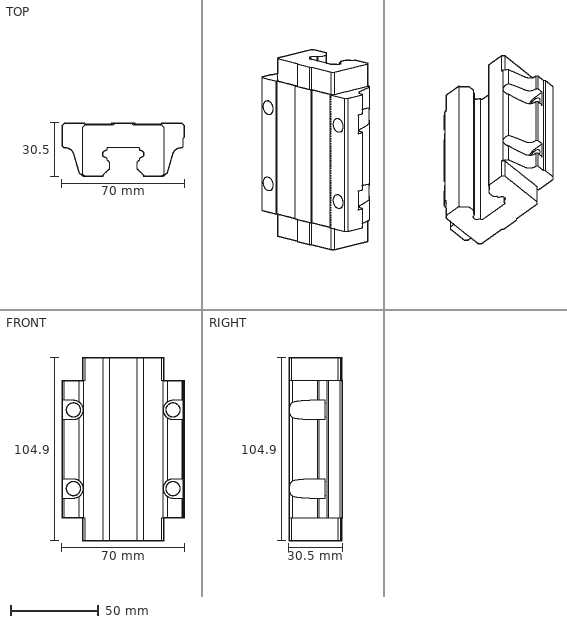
import cadquery as cq


length = 104.9
half_width = 70.0 / 2
height = 30.5
block_length = 78.6

top_chamfer = 1.5
flange_underside = 16.4
flange_lip_chamfer = 1.0
skirt_corner_x = 29.4
skirt_foot_x = 25.3
skirt_foot_y = 2.1
base_half_width = 22.8
skirt_fillet = 5.0

relief_depth = 0.7
relief_top = 22.5

recess_depth = 0.6
recess_inner_x = 6.6
recess_outer_x = 22.0

cap_half_width = 23.2
cap_top = height - 1.0
cap_chamfer = 1.4
cap_ridge_top = height - 0.3
cap_ridge_base_half = 5.8
cap_ridge_top_half = 5.0

groove_x = 11.6
neck_x = 7.8
throat_x = 9.2
mouth_y = 0.7
neck_bottom_y = 4.4
neck_top_y = 8.1
throat_bottom_y = 9.4
groove_bottom_y = 11.6
groove_top_y = 14.0
groove_side_rise = 1.3
ceiling_y = 16.5
mouth_fillet = 1.0
groove_fillet = 0.5

hole_pitch_x = 57.0
hole_pitch_z = 45.0
hole_diameter = 8.0
clearance_radius = 5.6
hole_seat_y = 20.7


def mirrored(points):
    """Follow +X points, listed from bottom to top, with their mirror images in reverse."""
    return points + [(-x, y) for x, y in reversed(points)]


def prism(outline, depth):
    """Extrude a closed outline along Z, centred on Z = 0."""
    return cq.Workplane("XY").polyline(outline).close().extrude(depth / 2, both=True)


def round_long_edges(body, corners, radius):
    """Fillet the Z edges at the given outline corners and at their mirror images."""
    for x, y in mirrored(corners):
        nearest = cq.selectors.NearestToPointSelector((x, y, 0))
        body = body.edges("|Z").edges(nearest).fillet(radius)
    return body


def make_block():
    block = prism(
        mirrored([
            (base_half_width, 0),
            (skirt_foot_x, skirt_foot_y),
            (skirt_corner_x, flange_underside),
            (half_width - flange_lip_chamfer, flange_underside),
            (half_width, flange_underside + flange_lip_chamfer),
            (half_width, height - top_chamfer),
            (half_width - top_chamfer, height),
        ]),
        block_length,
    )
    block = round_long_edges(block, [(skirt_corner_x, flange_underside)], skirt_fillet)
    return block.cut(make_edge_relief()).cut(make_top_recesses())


def make_edge_relief():
    relief_x = half_width - relief_depth
    return prism(
        [
            (half_width, relief_top),
            (relief_x, relief_top - relief_depth),
            (relief_x, flange_underside + relief_depth),
            (relief_x - relief_depth, flange_underside),
            (half_width, flange_underside),
        ],
        block_length,
    )


def make_top_recesses():
    recess_width = recess_outer_x - recess_inner_x
    recess_centre = (recess_outer_x + recess_inner_x) / 2
    return (
        cq.Workplane("XY")
        .pushPoints([(side * recess_centre, height) for side in (-1, 1)])
        .rect(recess_width, 2 * recess_depth)
        .extrude(block_length / 2, both=True)
    )


def make_caps():
    """A prism of the cap section that runs the full length, through the block."""
    return prism(
        mirrored([
            (cap_half_width - cap_chamfer, 0),
            (cap_half_width, cap_chamfer),
            (cap_half_width, cap_top - cap_chamfer),
            (cap_half_width - cap_chamfer, cap_top),
            (cap_ridge_base_half, cap_top),
            (cap_ridge_top_half, cap_ridge_top),
        ]),
        length,
    )


def make_channel():
    mouth_corner = (groove_x, mouth_y)
    neck_bottom = (neck_x, neck_bottom_y)
    neck_top = (neck_x, neck_top_y)
    groove_bottom = (groove_x, groove_bottom_y)
    groove_top = (groove_x, groove_top_y)
    ceiling_corner = (throat_x, ceiling_y)
    channel = prism(
        mirrored([
            (groove_x, 0),
            mouth_corner,
            neck_bottom,
            neck_top,
            (throat_x, throat_bottom_y),
            (throat_x, groove_bottom_y - groove_side_rise),
            groove_bottom,
            groove_top,
            (throat_x, groove_top_y + groove_side_rise),
            ceiling_corner,
        ]),
        length,
    )
    channel = round_long_edges(channel, [mouth_corner, neck_bottom, neck_top], mouth_fillet)
    return round_long_edges(channel, [groove_bottom, groove_top, ceiling_corner], groove_fillet)


def make_mounting_cut(side, z):
    """Through hole plus a U-shaped clearance, open outwards, below its seat."""
    x = side * hole_pitch_x / 2
    plane = cq.Workplane("XZ").center(x, z)
    hole = plane.circle(hole_diameter / 2).extrude(-height)
    round_end = plane.circle(clearance_radius).extrude(-hole_seat_y)
    reach = half_width - hole_pitch_x / 2
    open_end = plane.center(side * reach / 2, 0).rect(reach, 2 * clearance_radius).extrude(-hole_seat_y)
    return hole.union(round_end).union(open_end)


result = make_block().union(make_caps()).cut(make_channel())
for side in (-1, 1):
    for z in (-hole_pitch_z / 2, hole_pitch_z / 2):
        result = result.cut(make_mounting_cut(side, z))